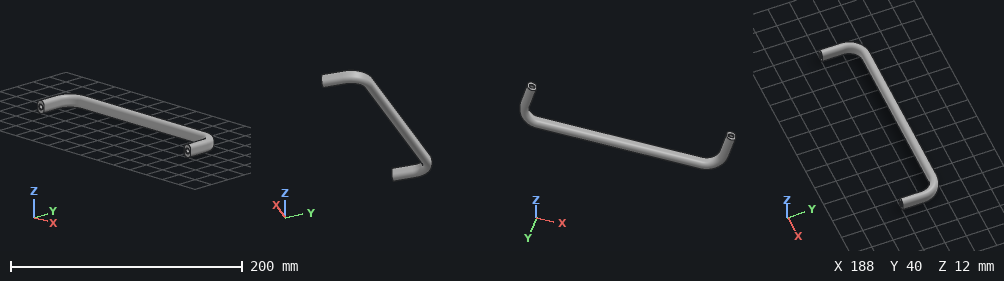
import cadquery as cq
import math

length = 188.0
depth = 40.0
bar_height = 12.0

bar_width = 8.0
bend_radius = 16.0

hole_diameter = 4.1
hole_depth = 10.0
countersink_diameter = 5.0
countersink_angle = 90
drill_tip_angle = 118

leg_x = (length - bar_width) / 2
grip_y = depth - bar_width / 2
bend_start_y = grip_y - bend_radius


def make_bar():
    """Sweep the obround section along the U-shaped centerline."""
    path = (
        cq.Workplane("XY")
        .moveTo(-leg_x, 0)
        .lineTo(-leg_x, bend_start_y)
        .radiusArc((-leg_x + bend_radius, grip_y), bend_radius)
        .lineTo(leg_x - bend_radius, grip_y)
        .radiusArc((leg_x, bend_start_y), bend_radius)
        .lineTo(leg_x, 0)
    )
    section = cq.Workplane("XZ", origin=(-leg_x, 0, 0)).slot2D(bar_height, bar_width, 90)
    return section.sweep(path)


def cone_depth(diameter_change, angle):
    """Axial length over which a cone of this full angle changes diameter."""
    return diameter_change / 2 / math.tan(math.radians(angle / 2))


def make_hole_cutter(x):
    """Revolve a countersunk hole with a conical bottom about the leg axis."""
    countersink_depth = cone_depth(countersink_diameter - hole_diameter, countersink_angle)
    tip_depth = cone_depth(hole_diameter, drill_tip_angle)
    return (
        cq.Workplane("XY", origin=(x, 0, 0))
        .lineTo(countersink_diameter / 2, 0)
        .lineTo(hole_diameter / 2, countersink_depth)
        .lineTo(hole_diameter / 2, hole_depth)
        .lineTo(0, hole_depth + tip_depth)
        .close()
        .revolve(360, (0, 0), (0, 1))
    )


result = make_bar()
for hole_x in (-leg_x, leg_x):
    result = result.cut(make_hole_cutter(hole_x))